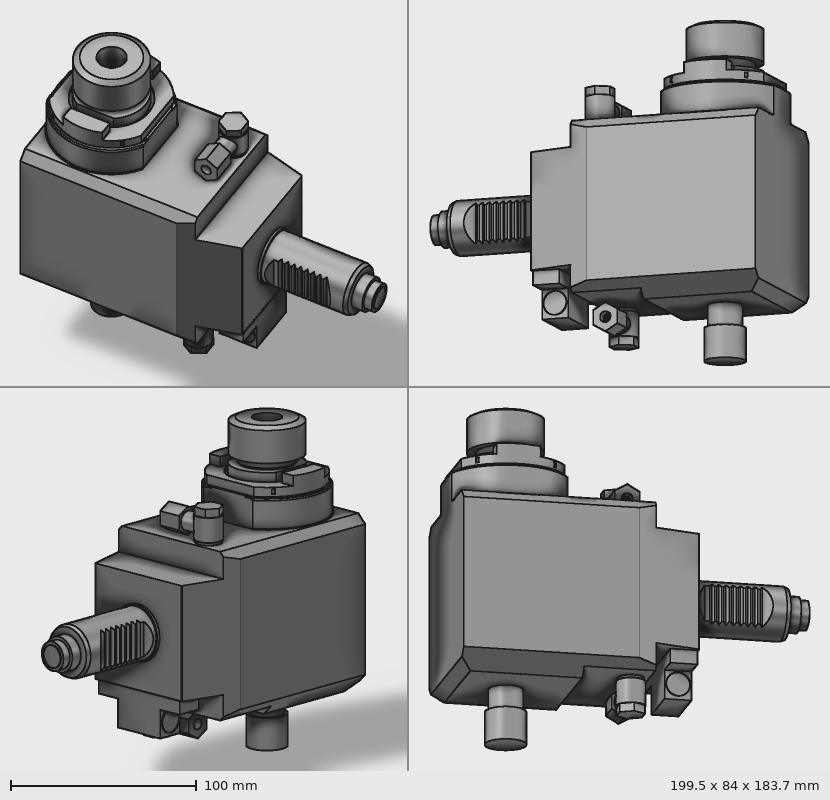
import cadquery as cq
import math


face_x = -32.7
taper_x = 64.2
shoulder_x = 74.5
rear_x = 99.8
half_width = 84.0 / 2
half_height = 47.3
taper_angle = 15
edge_chamfer = 5.2
rear_half_height = 64.8 / 2
rear_edge_chamfer = 0.4
foot_x = 35.1
foot_z = -52.5
foot_chamfer = 10.4
toe_chamfer = 6.0

flange_radius = 35.3
flange_flat_x = 30.1
flange_top = 64.2
flange_chamfer = 0.8
base_radius = 36.0
base_height = 0.4
seat_radius = 32.7
plate_radius = 67.2 / 2
plate_flat_x = 28.5
plate_bottom = 65.0
plate_top = 70.5
bore_radius = 23.1
bore_depth = 2.0
pad_top = 76.2
pad_half_width = 12.2
notch_angles = (50, 130, 230, 310)
notch_width = 1.8
notch_height = 2.8
notch_depth = 1.0
notch_z = 68.0
collar_radius = 21.1
collar_flat_y = 35.7 / 2
collar_top = 75.2
undercut_radius = 15.2
neck_radius = 16.2
head_radius = 21.0
head_bottom = 80.4
head_top = 100.5
head_bevel_width = 3.8
head_bevel_height = 1.8
socket_radius = 8.2
socket_depth = 16.0

stub_radius = 19.0 / 2
stub_foot_radius = 22.5 / 2
stub_step_z = -65.0
stub_bottom = -83.2

shank_collar_radius = 16.0
shank_collar_x = 101.5
shank_radius = 30.1 / 2
shank_end_x = 154.6
shank_bevel_length = 2.4
shank_bevel_height = 1.0
pilot_radius = 10.0
pilot_end_x = 161.2
nose_radius = 8.2
nose_end_x = 166.2
nose_lip_radius = 6.4
tip_x = 166.8
rack_crest_y = 23.0 / 2
rack_start_x = 103.7
rack_pitch = 4.0
rack_groove_count = 8
rack_first_groove_x = 111.5
rack_groove_depth = 1.4

fitting_x = 64.8
fitting_y = 19.0
fitting_radius = 8.0
fitting_foot_radius = 7.4
fitting_foot_top = 48.9
fitting_top = 62.8
fitting_hex_flats = 14.0
bolt_top = 67.6
pipe_z = 56.3
pipe_radius = 5.5
nut_back_y = 3.5
nut_front_y = -10.8
nozzle_radius = 3.0
nozzle_depth = 6.0
nozzle_bore_radius = 2.2
nozzle_bore_depth = 10.0

bracket_x = 84.2
bracket_end_x = 99.2
bracket_step_z = -40.3
bracket_bottom = -56.5
bracket_bar_half_width = 30.3
bracket_half_width = 16.0
plug_z = -47.9
plug_radius = 6.5
plug_projection = 0.5


def box(x0, x1, y0, y1, z0, z1):
    """Box between two opposite corners."""
    return cq.Workplane("XY").box(x1 - x0, y1 - y0, z1 - z0, centered=False).translate((x0, y0, z0))


def disc(radius, z0, z1):
    """Upright cylinder on the spindle axis."""
    return cq.Workplane("XY").workplane(offset=z0).circle(radius).extrude(z1 - z0)


def rod(radius, x0, x1):
    """Cylinder on the shank axis."""
    return cq.Workplane("YZ").workplane(offset=x0).circle(radius).extrude(x1 - x0)


def hexagon_points(flats):
    """Hexagon corners with one corner on the local vertical axis."""
    corner_radius = flats / math.sqrt(3)
    angles = [math.radians(30 + 60 * i) for i in range(6)]
    return [(corner_radius * math.cos(a), corner_radius * math.sin(a)) for a in angles]


def make_housing():
    side_profile = (
        cq.Workplane("XZ")
        .polyline([
            (face_x, half_height),
            (shoulder_x, half_height),
            (shoulder_x, rear_half_height),
            (rear_x, rear_half_height),
            (rear_x, -rear_half_height),
            (shoulder_x, -rear_half_height),
            (shoulder_x, -half_height),
            (foot_x, -half_height),
            (foot_x, foot_z),
            (face_x + toe_chamfer, foot_z),
            (face_x, foot_z + toe_chamfer),
        ])
        .close()
        .extrude(half_width, both=True)
    )
    rear_half_width = half_width - (rear_x - taper_x) * math.tan(math.radians(taper_angle))
    plan = (
        cq.Workplane("XY")
        .workplane(offset=foot_z)
        .polyline([
            (face_x, -half_width),
            (taper_x, -half_width),
            (rear_x, -rear_half_width),
            (rear_x, rear_half_width),
            (taper_x, half_width),
            (face_x, half_width),
        ])
        .close()
        .extrude(half_height - foot_z)
        .faces(">X")
        .chamfer(rear_edge_chamfer)
    )
    top_y = half_width - edge_chamfer
    bottom_y = half_width - foot_chamfer
    cross_section = (
        cq.Workplane("YZ")
        .workplane(offset=face_x)
        .polyline([
            (-top_y, half_height),
            (top_y, half_height),
            (half_width, half_height - edge_chamfer),
            (half_width, foot_z + foot_chamfer),
            (bottom_y, foot_z),
            (-bottom_y, foot_z),
            (-half_width, foot_z + foot_chamfer),
            (-half_width, half_height - edge_chamfer),
        ])
        .close()
        .extrude(rear_x - face_x)
    )
    return side_profile.intersect(plan).intersect(cross_section)


def make_flange():
    base = disc(base_radius, 0, half_height + base_height)
    flange = disc(flange_radius, half_height + base_height, flange_top).faces(">Z").chamfer(flange_chamfer)
    seat = disc(seat_radius, flange_top, plate_bottom)
    limits = box(face_x, flange_flat_x, -base_radius, base_radius, 0, plate_bottom)
    return base.union(flange).union(seat).intersect(limits)


def make_plate():
    pads = disc(plate_radius, plate_top, pad_top).cut(disc(bore_radius, plate_top, pad_top))
    pad_limits = cq.Workplane("XY").box(2 * pad_half_width, 2 * plate_radius, 2 * pad_top)
    pad_gap = cq.Workplane("XY").box(2 * plate_radius, 2 * bore_radius, 2 * pad_top)
    plate_limits = cq.Workplane("XY").box(2 * plate_flat_x, 2 * plate_radius, 2 * plate_top)
    plate = disc(plate_radius, plate_bottom, plate_top).intersect(plate_limits)
    plate = plate.union(pads.intersect(pad_limits).cut(pad_gap))
    plate = plate.cut(disc(bore_radius, plate_top - bore_depth, plate_top))
    for angle in notch_angles:
        slot = cq.Workplane("XY").box(2 * notch_depth, notch_width, notch_height)
        slot = slot.translate((plate_radius, 0, notch_z)).rotate((0, 0, 0), (0, 0, 1), angle)
        plate = plate.cut(slot)
    return plate


def make_spindle():
    collar_limits = cq.Workplane("XY").box(2 * collar_radius, 2 * collar_flat_y, 2 * collar_top)
    collar = disc(collar_radius, plate_bottom, collar_top).intersect(collar_limits)
    undercut = disc(undercut_radius, collar_top, pad_top)
    neck = disc(neck_radius, pad_top, head_bottom)
    head = disc(head_radius, head_bottom, head_top)
    head = head.faces(">Z").chamfer(head_bevel_height, head_bevel_width)
    head = head.cut(disc(socket_radius, head_top - socket_depth, head_top))
    return collar.union(undercut).union(neck).union(head)


def make_drive_stub():
    return disc(stub_radius, stub_step_z, 0).union(disc(stub_foot_radius, stub_bottom, stub_step_z))


def make_rack_cutter():
    """Cutter for the serrated flat on the +Y side, with 45 degree end flanks and grooves."""
    flank = shank_radius - rack_crest_y
    valley_y = rack_crest_y - rack_groove_depth
    last_groove_x = rack_first_groove_x + (rack_groove_count - 1) * rack_pitch
    points = [(rack_start_x, shank_radius), (rack_start_x + flank, rack_crest_y)]
    for i in range(rack_groove_count):
        groove_x = rack_first_groove_x + i * rack_pitch
        points.append((groove_x - rack_groove_depth, rack_crest_y))
        points.append((groove_x, valley_y))
        if i < rack_groove_count - 1:
            points.append((groove_x + rack_groove_depth, rack_crest_y))
    points.append((last_groove_x + shank_radius - valley_y, shank_radius))
    return cq.Workplane("XY").polyline(points).close().extrude(shank_radius, both=True)


def make_shank():
    shank = rod(shank_radius, shoulder_x, shank_end_x)
    shank = shank.faces(">X").chamfer(shank_bevel_length, shank_bevel_height)
    cutter = make_rack_cutter()
    shank = shank.cut(cutter).cut(cutter.mirror("XZ"))
    shank = shank.union(rod(shank_collar_radius, shoulder_x, shank_collar_x))
    shank = shank.union(rod(pilot_radius, shoulder_x, pilot_end_x))
    shank = shank.union(rod(nose_radius, shoulder_x, nose_end_x))
    return shank.union(rod(nose_lip_radius, shoulder_x, tip_x))


def make_fitting():
    """Banjo fitting on the top face with its outlet nut pointing to -Y."""
    foot = disc(fitting_foot_radius, 0, fitting_foot_top)
    barrel = disc(fitting_radius, fitting_foot_top, fitting_top)
    hexagon = hexagon_points(fitting_hex_flats)
    bolt = cq.Workplane("XY").workplane(offset=fitting_top).polyline(hexagon).close()
    bolt = bolt.extrude(bolt_top - fitting_top)
    upright = foot.union(barrel).union(bolt).translate((fitting_x, fitting_y, 0))

    outlet_plane = cq.Workplane("XZ", origin=(fitting_x, fitting_y, pipe_z))
    pipe = outlet_plane.circle(pipe_radius).extrude(fitting_y - nut_back_y)
    nut_plane = cq.Workplane("XZ", origin=(fitting_x, nut_back_y, pipe_z))
    nut = nut_plane.polyline(hexagon).close().extrude(nut_back_y - nut_front_y)
    for radius, depth in ((nozzle_radius, nozzle_depth), (nozzle_bore_radius, nozzle_bore_depth)):
        bore_plane = cq.Workplane("XZ", origin=(fitting_x, nut_front_y + depth, pipe_z))
        nut = nut.cut(bore_plane.circle(radius).extrude(depth))
    return upright.union(pipe).union(nut)


def make_bracket():
    bar = box(
        bracket_x, bracket_end_x, -bracket_bar_half_width, bracket_bar_half_width,
        bracket_step_z, -rear_half_height,
    )
    block = box(
        bracket_x, bracket_end_x, -bracket_half_width, bracket_half_width,
        bracket_bottom, bracket_step_z,
    )
    plug = (
        cq.Workplane("XZ", origin=((bracket_x + bracket_end_x) / 2, 0, plug_z))
        .circle(plug_radius)
        .extrude(bracket_half_width + plug_projection, both=True)
    )
    return bar.union(block).union(plug)


top_fitting = make_fitting()
bottom_fitting = top_fitting.rotate((0, 0, 0), (1, 0, 0), 180)

result = make_housing()
for feature in (
    make_flange(),
    make_plate(),
    make_spindle(),
    make_drive_stub(),
    make_shank(),
    top_fitting,
    bottom_fitting,
    make_bracket(),
):
    result = result.union(feature)